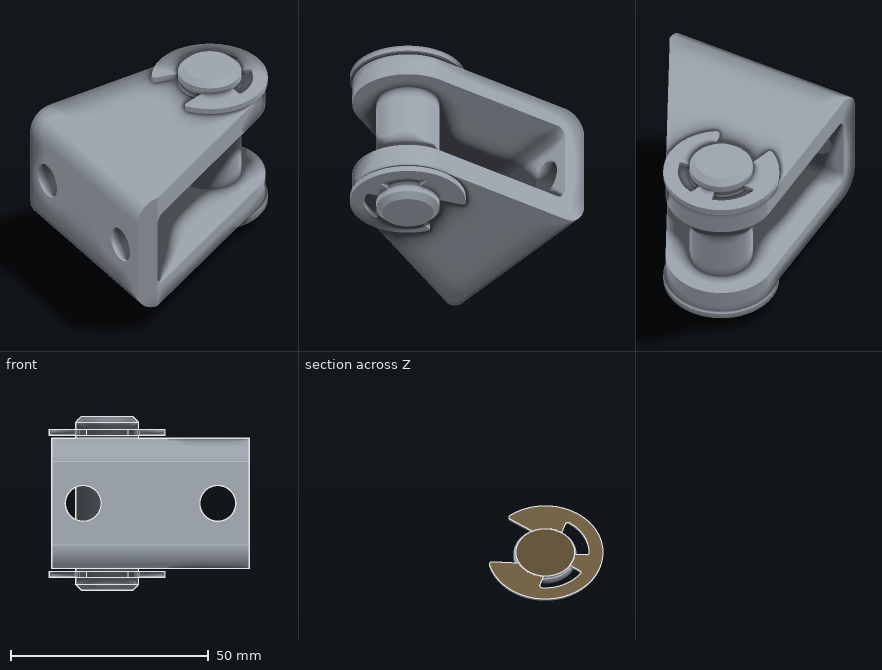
import cadquery as cq
import math

width = 50.0
height = 33.0
plate = 5.95
outer_bend_radius = plate
inner_bend_radius = 2.5
lug_radius = 14.1
mount_hole_diameter = 9.0
mount_hole_inset = 8.0

pin_x = 14.0
pin_y = 45.0
pin_diameter = 16.0
pin_length = 44.0
pin_chamfer = 1.5
groove_diameter = 15.0

clip_radius = 14.7
clip_thickness = 1.5
clip_gap = 0.7
window_radius = 11.05
window_floor = 2.0
spoke_half_angle = math.radians(15)
mouth_half_width = 3.8
mouth_half_angle = math.radians(15)
tip_depth = 12.3
corner_radius = 0.6

clip_inner_z = height / 2 + clip_gap
clip_bottoms = (clip_inner_z, -clip_inner_z - clip_thickness)


def pin_cylinder(diameter, bottom, length):
    """Cylinder on the pin axis."""
    return cq.Workplane("XY", origin=(pin_x, pin_y, bottom)).circle(diameter / 2).extrude(length)


def lug_profile():
    """Plan shape: straight left edge, round lug end, slanted edge tangent to the round."""
    slant_x, slant_y = width, outer_bend_radius
    left_y = pin_y + math.sqrt(lug_radius**2 - pin_x**2)
    distance = math.hypot(slant_x - pin_x, slant_y - pin_y)
    tangent_angle = math.atan2(slant_y - pin_y, slant_x - pin_x) + math.acos(lug_radius / distance)
    tangent_point = (
        pin_x + lug_radius * math.cos(tangent_angle),
        pin_y + lug_radius * math.sin(tangent_angle),
    )
    return (
        cq.Workplane("XY", origin=(0, 0, -height / 2))
        .lineTo(width, 0)
        .lineTo(slant_x, slant_y)
        .lineTo(*tangent_point)
        .threePointArc((pin_x, pin_y + lug_radius), (0, left_y))
        .close()
        .extrude(height)
    )


def make_bracket():
    """U-shaped bracket with two pin lugs and two mounting holes in the web."""
    depth = pin_y + lug_radius
    channel = (
        cq.Workplane("XY")
        .box(width, depth, height, centered=(False, False, True))
        .edges("|X and <Y")
        .fillet(outer_bend_radius)
    )
    inside = (
        cq.Workplane("XY", origin=(0, plate, 0))
        .box(width, depth, height - 2 * plate, centered=(False, False, True))
        .edges("|X and <Y")
        .fillet(inner_bend_radius)
    )
    mount_holes = (
        cq.Workplane("XZ")
        .pushPoints([(mount_hole_inset, 0), (width - mount_hole_inset, 0)])
        .circle(mount_hole_diameter / 2)
        .extrude(-plate)
    )
    pin_hole = pin_cylinder(pin_diameter, -height / 2, height)
    return channel.cut(inside).intersect(lug_profile()).cut(mount_holes).cut(pin_hole)


def make_pin():
    """Pin with chamfered ends and one groove for each clip."""
    pin = pin_cylinder(pin_diameter, -pin_length / 2, pin_length).faces("<Z or >Z").chamfer(pin_chamfer)
    for bottom in clip_bottoms:
        groove = pin_cylinder(pin_diameter, bottom, clip_thickness)
        groove = groove.cut(pin_cylinder(groove_diameter, bottom, clip_thickness))
        pin = pin.cut(groove)
    return pin


def clip_window(bottom, side):
    """Window between the middle spoke and a side arm, open to the bore; side is -1 or 1."""
    start = math.asin(window_floor / window_radius)
    end = math.pi / 2 - spoke_half_angle
    middle = (start + end) / 2

    def rim_point(angle):
        return (side * window_radius * math.cos(angle), window_radius * math.sin(angle))

    spoke_foot_x = side * window_floor * math.tan(spoke_half_angle)
    return (
        cq.Workplane("XY", origin=(pin_x, pin_y, bottom))
        .moveTo(spoke_foot_x, window_floor)
        .lineTo(*rim_point(start))
        .threePointArc(rim_point(middle), rim_point(end))
        .close()
        .extrude(clip_thickness)
        .edges("|Z")
        .edges(">X or >Y" if side > 0 else "<X or >Y")
        .fillet(corner_radius)
    )


def make_clip(bottom):
    """E-shaped retaining clip whose mouth faces the web."""
    mouth_end_half_width = mouth_half_width + clip_radius * math.tan(mouth_half_angle)
    mouth = (
        cq.Workplane("XY", origin=(pin_x, pin_y, bottom))
        .moveTo(-mouth_half_width, 0)
        .lineTo(mouth_half_width, 0)
        .lineTo(mouth_end_half_width, -clip_radius)
        .lineTo(-mouth_end_half_width, -clip_radius)
        .close()
        .extrude(clip_thickness)
    )
    below_tips = (
        cq.Workplane("XY", origin=(pin_x, pin_y - tip_depth - clip_radius / 2, bottom))
        .rect(2 * clip_radius, clip_radius)
        .extrude(clip_thickness)
    )
    clip = pin_cylinder(2 * clip_radius, bottom, clip_thickness).cut(mouth).cut(below_tips)
    clip = clip.edges("|Z").edges(cq.selectors.BoxSelector(
        (pin_x - clip_radius, pin_y - tip_depth - corner_radius, bottom - clip_thickness),
        (pin_x + clip_radius, pin_y - tip_depth + corner_radius, bottom + 2 * clip_thickness),
    )).fillet(corner_radius)
    for side in (-1, 1):
        clip = clip.cut(clip_window(bottom, side))
    return clip.cut(pin_cylinder(groove_diameter, bottom, clip_thickness))


bracket = make_bracket()
pin = make_pin()
clips = [make_clip(bottom) for bottom in clip_bottoms]

result = cq.Compound.makeCompound([bracket.val(), pin.val(), *[clip.val() for clip in clips]])